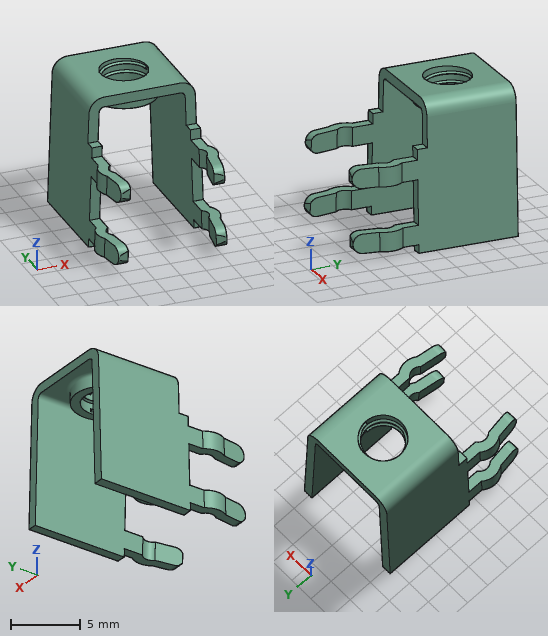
import cadquery as cq
import math

SHEET = 0.8
BEND_INNER = 0.4
BEND_OUTER = BEND_INNER + SHEET
FLAT_HALF = 2.95
SPLAY = 2.0
DEPTH = 7.1
OVERALL_DEPTH = 13.0
BACK_Y = DEPTH / 2
FRONT_Y = -DEPTH / 2

SIDE_LENGTH = 10.33
SHOULDER_TOP = -3.5
SHOULDER_OVERHANG = 0.8
SHOULDER_Y = FRONT_Y - SHOULDER_OVERHANG

PRONG_WIDTH = 1.5
PRONG_HEIGHTS = (-5.07, -10.07)
PRONG_TIP_Y = BACK_Y - OVERALL_DEPTH
BULGE_Y = -6.57
BULGE_CENTRE = -0.01
BULGE_INNER = 0.75
BULGE_OUTER = BULGE_INNER + SHEET
ARM_ANGLE = 8.5
ARM_INNER = 0.585

COLLAR_DIAMETER = 5.05
COLLAR_BOTTOM = -1.9
COLLAR_FILLET = 0.25
HOLE_DIAMETER = 3.6

THREAD_MINOR_DIAMETER = 3.25
THREAD_PITCH = 0.7
THREAD_TURNS = 2
THREAD_START = -0.22
THREAD_BASE = 0.24
THREAD_EMBED = 0.05


def make_top():
    """Flat plate with a bend on each side, ending where the side plates start."""

    def bend_point(radius, angle, side):
        x = FLAT_HALF + radius * math.cos(math.radians(angle))
        z = -BEND_OUTER + radius * math.sin(math.radians(angle))
        return (side * x, z)

    start, end = SPLAY, 90.0
    middle = (start + end) / 2
    outline = (
        cq.Workplane("XZ", origin=(0, BACK_Y, 0))
        .moveTo(*bend_point(BEND_OUTER, start, -1))
        .threePointArc(bend_point(BEND_OUTER, middle, -1), bend_point(BEND_OUTER, end, -1))
        .lineTo(*bend_point(BEND_OUTER, end, 1))
        .threePointArc(bend_point(BEND_OUTER, middle, 1), bend_point(BEND_OUTER, start, 1))
        .lineTo(*bend_point(BEND_INNER, start, 1))
        .threePointArc(bend_point(BEND_INNER, middle, 1), bend_point(BEND_INNER, end, 1))
        .lineTo(*bend_point(BEND_INNER, end, -1))
        .threePointArc(bend_point(BEND_INNER, middle, -1), bend_point(BEND_INNER, start, -1))
        .close()
    )
    return outline.extrude(DEPTH)


def make_side_sheet():
    """Upright sheet below the bend axis: flat plate, round bulge, inward arm, at full height."""
    angle = math.radians(ARM_ANGLE)

    def plate_point(radius, distance):
        return (BULGE_CENTRE + distance, BULGE_Y + math.sqrt(radius**2 - distance**2))

    def arm_point(distance, along):
        x = BULGE_CENTRE + distance * math.cos(angle) - along * math.sin(angle)
        y = BULGE_Y - distance * math.sin(angle) - along * math.cos(angle)
        return (x, y)

    plate_inner = BEND_INNER - BULGE_CENTRE
    plate_outer = plate_inner + SHEET
    arm_outer = ARM_INNER + SHEET
    arm_length = (BULGE_Y - PRONG_TIP_Y - arm_outer * math.sin(angle)) / math.cos(angle)
    inner_arm_start = arm_point(ARM_INNER, math.sqrt(BULGE_INNER**2 - ARM_INNER**2))
    outer_arm_start = arm_point(arm_outer, math.sqrt(BULGE_OUTER**2 - arm_outer**2))
    inner_apex = (BULGE_CENTRE + BULGE_INNER, BULGE_Y)
    outer_apex = (BULGE_CENTRE + BULGE_OUTER, BULGE_Y)

    return (
        cq.Workplane("XY")
        .moveTo(BEND_INNER, BACK_Y)
        .lineTo(*plate_point(BULGE_INNER, plate_inner))
        .threePointArc(inner_apex, inner_arm_start)
        .lineTo(*arm_point(ARM_INNER, arm_length))
        .lineTo(*arm_point(arm_outer, arm_length))
        .lineTo(*outer_arm_start)
        .threePointArc(outer_apex, plate_point(BULGE_OUTER, plate_outer))
        .lineTo(BEND_OUTER, BACK_Y)
        .close()
        .extrude(-SIDE_LENGTH)
    )


def make_side_silhouette():
    """Block with the side outline: plate, shoulder and prongs with fully rounded tips."""
    half = PRONG_WIDTH / 2
    round_start = PRONG_TIP_Y + half
    bottom = -BEND_OUTER - SIDE_LENGTH
    outline = cq.Workplane("YZ").moveTo(BACK_Y, 0).lineTo(FRONT_Y, 0)
    outline = outline.lineTo(FRONT_Y, SHOULDER_TOP).lineTo(SHOULDER_Y, SHOULDER_TOP)
    for height in PRONG_HEIGHTS:
        outline = (
            outline.lineTo(SHOULDER_Y, height + half)
            .lineTo(round_start, height + half)
            .threePointArc((PRONG_TIP_Y, height), (round_start, height - half))
            .lineTo(SHOULDER_Y, height - half)
        )
    outline = outline.lineTo(SHOULDER_Y, bottom).lineTo(BACK_Y, bottom).close()
    return outline.extrude(2 * (FLAT_HALF + BEND_OUTER))


def make_right_side():
    """Side sheet splayed about the bend axis, then cut straight across to the side outline."""
    sheet = make_side_sheet().rotate((0, 0, 0), (0, 1, 0), -SPLAY)
    return sheet.translate((FLAT_HALF, 0, -BEND_OUTER)).intersect(make_side_silhouette())


def make_collar():
    """Solid of revolution under the top plate, flared where it meets the plate."""
    radius = COLLAR_DIAMETER / 2
    flare_radius = radius + COLLAR_FILLET
    flare_middle = COLLAR_FILLET * (1 - math.sqrt(0.5))
    return (
        cq.Workplane("XZ")
        .moveTo(0, -SHEET / 2)
        .lineTo(flare_radius, -SHEET / 2)
        .lineTo(flare_radius, -SHEET)
        .threePointArc(
            (radius + flare_middle, -SHEET - flare_middle),
            (radius, -SHEET - COLLAR_FILLET),
        )
        .lineTo(radius, COLLAR_BOTTOM)
        .lineTo(0, COLLAR_BOTTOM)
        .close()
        .revolve(360, (0, 0, 0), (0, 1, 0))
    )


def make_hole():
    """Cutter for the through hole."""
    return cq.Workplane("XY").circle(HOLE_DIAMETER / 2).extrude(COLLAR_BOTTOM)


def make_thread():
    """V-shaped helical ridge, starting and ending on the +X side."""
    wall_radius = HOLE_DIAMETER / 2
    crest_radius = THREAD_MINOR_DIAMETER / 2
    height = THREAD_PITCH * THREAD_TURNS
    root_radius = wall_radius + THREAD_EMBED
    flank_slope = THREAD_BASE / 2 / (wall_radius - crest_radius)
    half_root = flank_slope * (root_radius - crest_radius)
    helix = cq.Wire.makeHelix(THREAD_PITCH, height, crest_radius, lefthand=True)
    ridge = (
        cq.Workplane("XZ")
        .moveTo(root_radius, -half_root)
        .lineTo(crest_radius, 0)
        .lineTo(root_radius, half_root)
        .close()
        .sweep(cq.Workplane(obj=helix), isFrenet=True)
    )
    return ridge.translate((0, 0, THREAD_START - height))


right_side = make_right_side()
left_side = right_side.mirror("YZ")
bracket = make_top().union(right_side).union(left_side).union(make_collar())
result = bracket.cut(make_hole()).union(make_thread())